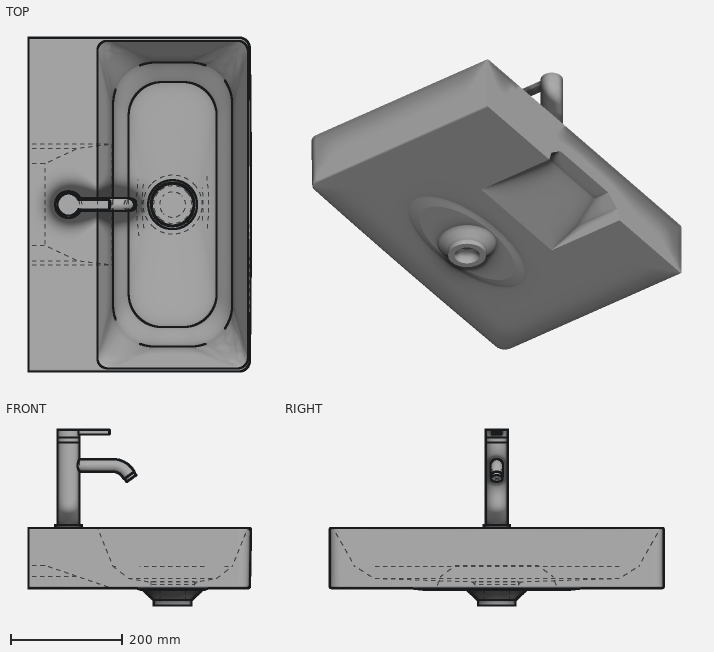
import cadquery as cq
import math


basin_depth = 399.94
basin_width = 599.88
basin_height = 108.5
front_crown = 2.5
front_draft = 2.0
front_corner_radius = 20.0
edge_radius = 4.0

bowl_back = 124.0
bowl_front = 394.0
bowl_half_width = 294.0
bowl_rim_radius = 18.0
wall_base_level = 69.0
wall_base_inset = 28.0
wall_base_end_inset = 39.0
floor_level = 91.0
floor_side_inset = 28.0
floor_end_inset = 35.0
wall_base_corner_radius = 75.0
floor_corner_radius = 60.0
bowl_level = 97.0

drain_x = bowl_back + (bowl_front - bowl_back) / 2
drain_rim_diameter = 88.0
drain_edge_flat = 1.0
plug_diameter = 78.0
plug_height = 12.0
plug_edge_chamfer = 1.5
plug_proud = 1.0
outlet_bore_diameter = 46.0
outlet_diameter = 68.0
funnel_diameter = 106.0
funnel_height = 18.0
outlet_drop = 31.23

swell_length = 130.0
swell_width = 311.0
swell_low_length = 110.0
swell_low_width = 250.0
swell_height = 3.5

recess_roof_depth = 30.0
recess_mouth_depth = 150.0
recess_height = 41.0
recess_shoulder_height = 21.0
recess_mouth_width = 217.0
recess_shoulder_width = 202.0
recess_roof_width = 147.0

faucet_x = 72.0
column_diameter = 40.0
flange_diameter = 48.0
flange_height = 5.0
faucet_height = 176.5
lever_cap_height = 14.0
ring_height = 9.0
handle_tip_x = 147.0
handle_width = 17.0
handle_thickness = 9.0
handle_tip_chamfer = 2.5
spout_diameter = 23.0
spout_axis_height = 112.0
spout_bend_start_x = 152.0
spout_bend_radius = 32.0
spout_bend_angle = 55.0
spout_end_length = 5.0
aerator_diameter = 21.0
aerator_length = 7.0

deck_z = basin_height
ring_z = deck_z + faucet_height - lever_cap_height - ring_height
lever_z = ring_z + ring_height
plug_top_z = deck_z - bowl_level + plug_proud
plug_base_z = plug_top_z - plug_height

bend = math.radians(spout_bend_angle)
spout_axis_z = deck_z + spout_axis_height
spout_direction = (math.cos(bend), -math.sin(bend))


def basin_outline(front_x, z):
    """Rectangle with a slightly crowned front edge."""
    half = basin_width / 2
    return (
        cq.Workplane("XY", origin=(0, 0, z))
        .moveTo(0, -half)
        .lineTo(front_x - front_crown, -half)
        .threePointArc((front_x, 0), (front_x - front_crown, half))
        .lineTo(0, half)
        .close()
        .wire()
        .val()
    )


def basin_block():
    """Block with a drafted front, rounded front corners and softened top and bottom edges."""
    top_front = basin_depth + front_draft * edge_radius / basin_height
    outlines = [basin_outline(basin_depth - front_draft, 0), basin_outline(top_front, basin_height)]
    block = cq.Workplane(cq.Solid.makeLoft(outlines, True))
    mid_z = basin_height / 2
    for side in (-1, 1):
        corner = cq.selectors.NearestToPointSelector((basin_depth, side * basin_width / 2, mid_z))
        block = block.edges(corner).fillet(front_corner_radius)
    return block.faces("<Z or >Z").edges("not <X").fillet(edge_radius)


def bowl_section(inset, end_inset, radius, level):
    """Rounded rectangle set in from the bowl's rim, at a level below the deck."""
    length = bowl_front - bowl_back - 2 * inset
    width = 2 * (bowl_half_width - end_inset)
    slab = cq.Workplane("XY", origin=(drain_x, 0, deck_z - level)).rect(length, width).extrude(1)
    return slab.edges("|Z").fillet(radius).faces("<Z").wires().val()


def bowl_cavity():
    """Bowl with steep walls down to a rounded rectangle, then a dished floor down to the drain."""
    rim = bowl_section(0, 0, bowl_rim_radius, 0)
    wall_base = bowl_section(wall_base_inset, wall_base_end_inset, wall_base_corner_radius, wall_base_level)
    floor_edge = bowl_section(
        wall_base_inset + floor_side_inset,
        wall_base_end_inset + floor_end_inset,
        floor_corner_radius,
        floor_level,
    )
    drain_radius = drain_rim_diameter / 2
    drain_edge = bowl_section(
        (bowl_front - bowl_back) / 2 - drain_radius,
        bowl_half_width - drain_radius,
        drain_radius - drain_edge_flat,
        bowl_level,
    )
    walls = cq.Solid.makeLoft([rim, wall_base], True)
    floor = cq.Solid.makeLoft([wall_base, floor_edge, drain_edge], True)
    return cq.Workplane(walls).union(cq.Workplane(floor))


def underside_swell():
    """Shallow elliptical swelling under the bowl."""
    high = cq.Workplane("XY", origin=(drain_x, 0, 0)).ellipse(swell_length / 2, swell_width / 2)
    return (
        high.workplane(offset=-swell_height)
        .ellipse(swell_low_length / 2, swell_low_width / 2)
        .loft(ruled=True)
    )


def outlet_body():
    """Funnel narrowing to a short round outlet."""
    return (
        cq.Workplane("XZ", origin=(drain_x, 0, 0))
        .polyline(
            [
                (0, 0),
                (funnel_diameter / 2, 0),
                (funnel_diameter / 2, -swell_height),
                (outlet_diameter / 2, -swell_height - funnel_height),
                (outlet_diameter / 2, -outlet_drop),
                (0, -outlet_drop),
            ]
        )
        .close()
        .revolve(360, (0, 0, 0), (0, 1, 0))
    )


def drain_opening():
    """Plug seat with a flared rim, and the bore below it."""
    rim_z = deck_z - bowl_level
    flare = (drain_rim_diameter - plug_diameter) / 2
    return (
        cq.Workplane("XZ", origin=(drain_x, 0, 0))
        .polyline(
            [
                (0, rim_z),
                (drain_rim_diameter / 2, rim_z),
                (plug_diameter / 2, rim_z - flare),
                (plug_diameter / 2, plug_base_z),
                (outlet_bore_diameter / 2, plug_base_z),
                (outlet_bore_diameter / 2, -outlet_drop),
                (0, -outlet_drop),
            ]
        )
        .close()
        .revolve(360, (0, 0, 0), (0, 1, 0))
    )


def back_recess():
    """Arched clearance open to the back and the underside, its end wall sloping under the bowl."""
    mouth = recess_mouth_width / 2
    shoulder = recess_shoulder_width / 2
    roof = recess_roof_width / 2
    arch = (
        cq.Workplane("YZ")
        .polyline(
            [
                (-mouth, 0),
                (-shoulder, recess_shoulder_height),
                (-roof, recess_height),
                (roof, recess_height),
                (shoulder, recess_shoulder_height),
                (mouth, 0),
            ]
        )
        .close()
        .extrude(recess_mouth_depth)
    )
    side_profile = (
        cq.Workplane("XZ")
        .polyline([(0, 0), (recess_mouth_depth, 0), (recess_roof_depth, recess_height), (0, recess_height)])
        .close()
        .extrude(mouth, both=True)
    )
    return arch.intersect(side_profile)


def make_basin():
    return (
        basin_block()
        .cut(bowl_cavity())
        .union(underside_swell())
        .union(outlet_body())
        .cut(drain_opening())
        .cut(back_recess())
    )


def make_drain_plug():
    return (
        cq.Workplane("XY", origin=(drain_x, 0, plug_base_z))
        .circle(plug_diameter / 2)
        .extrude(plug_height)
        .faces(">Z")
        .edges()
        .chamfer(plug_edge_chamfer)
    )


def faucet_disc(diameter, base_z, height):
    return cq.Workplane("XY", origin=(faucet_x, 0, base_z)).circle(diameter / 2).extrude(height)


def make_flange():
    return faucet_disc(flange_diameter, deck_z, flange_height)


def make_column():
    base_z = deck_z + flange_height
    return faucet_disc(column_diameter, base_z, ring_z - base_z)


def make_ring():
    return faucet_disc(column_diameter, ring_z, ring_height)


def make_lever():
    """Round cap with a flat handle flush with its top."""
    handle_length = handle_tip_x - faucet_x
    handle_z = lever_z + lever_cap_height - handle_thickness
    handle = (
        cq.Workplane("XY", origin=(faucet_x, 0, handle_z))
        .box(handle_length, handle_width, handle_thickness, centered=(False, True, False))
        .faces(">X")
        .chamfer(handle_tip_chamfer)
    )
    return faucet_disc(column_diameter, lever_z, lever_cap_height).union(handle)


def bend_point(angle):
    """Point on the spout's bent centre line as (X, Z)."""
    return (
        spout_bend_start_x + spout_bend_radius * math.sin(angle),
        spout_axis_z - spout_bend_radius * (1 - math.cos(angle)),
    )


def along_spout_end(distance):
    """Point past the end of the bend, along the spout's final direction, as (X, Z)."""
    x, z = bend_point(bend)
    return (x + distance * spout_direction[0], z + distance * spout_direction[1])


def make_spout():
    """Round arm that leaves the column level, bends down and ends at the aerator."""
    path = (
        cq.Workplane("XZ")
        .moveTo(faucet_x, spout_axis_z)
        .lineTo(spout_bend_start_x, spout_axis_z)
        .threePointArc(bend_point(bend / 2), bend_point(bend))
        .lineTo(*along_spout_end(spout_end_length))
    )
    tube = cq.Workplane("YZ", origin=(faucet_x, 0, spout_axis_z)).circle(spout_diameter / 2).sweep(path)
    return tube.cut(make_column())


def make_aerator():
    x, z = along_spout_end(spout_end_length)
    end_plane = cq.Plane((x, 0, z), (0, 1, 0), (spout_direction[0], 0, spout_direction[1]))
    return cq.Workplane(end_plane).circle(aerator_diameter / 2).extrude(aerator_length)


basin = make_basin()
drain_plug = make_drain_plug()
flange = make_flange()
column = make_column()
ring = make_ring()
lever = make_lever()
spout = make_spout()
aerator = make_aerator()

bodies = [basin, drain_plug, flange, column, ring, lever, spout, aerator]
result = cq.Compound.makeCompound([body.val() for body in bodies])